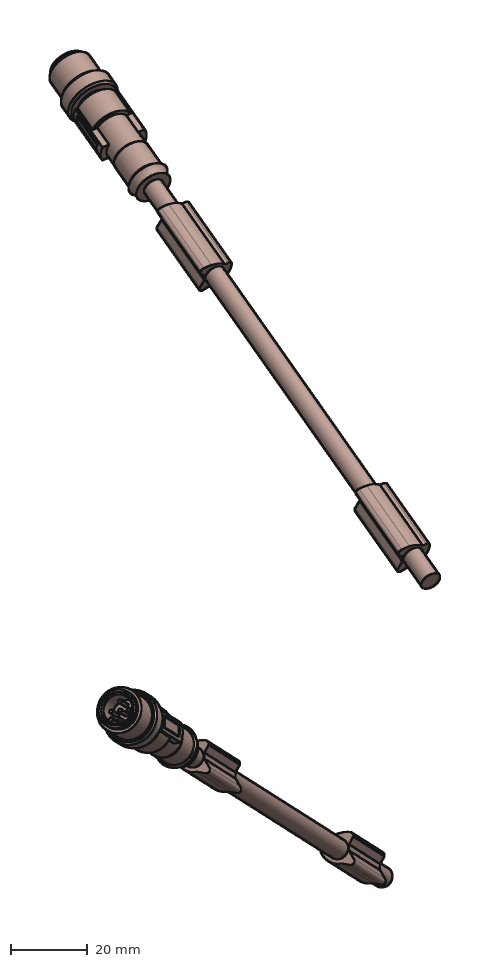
import cadquery as cq
import math

total_length = 196.8

tip_radius = 5.2
tip_length = 1.45
sleeve_radius = 6.2
bore_radius = 4.0
bore_chamfer = 0.5
bore_depth = 7.0

pin_radius = 0.5
pin_circle_radius = 2.5
pin_length = 5.0
key_turn = -45.0
key_width = 1.0
key_height = 1.2
key_setback = 1.5

nut_start = 9.2
nut_end = 14.4
nut_radius = 7.4
nut_chamfer = 0.6

neck_radius = 4.8
body_start = 15.75
collar_end = 24.0
collar_radius = 6.3
body_end = 46.5
body_radius = 5.1
relief_start = 34.5
relief_radius = 5.2

bead_start = 43.0
bead_peak = 43.6
bead_radius = 5.85
bead_fade = 44.3
bead_fade_radius = 5.35

pad_end = 30.4
pad_radius = 6.85
pad_height = 5.4
recess_start = 17.2
recess_length = 11.0
recess_height = 3.1
recess_floor = 6.4

cable_radius = 2.8
clip_length = 23.2
clip_starts = (56.5, 163.8)

clip_channel_wall_y = -3.05
clip_lower_lip = (-4.35, -3.0)
clip_channel_bottom = (clip_channel_wall_y, -0.7)
clip_channel_top = (clip_channel_wall_y, 0.95)
clip_upper_lip = (-4.25, 2.95)
clip_dome_start = (-3.2, 4.28)
clip_dome_ridge = (-0.9, 4.3)
clip_ledge_start = (3.0, 2.3)
clip_ledge_end = (4.1, 2.25)
clip_back_lip = (5.15, 1.2)
clip_underside = (-1.0, -4.0)
clip_foot = (-3.6, -4.65)

clip_upper_lip_bulge = (-4.1, 3.75)
clip_dome_crown = (-2.0, 4.4)
clip_dome_flank = (1.1, 3.7)
clip_back_lip_bulge = (4.85, 1.95)
clip_underside_bulge = (2.9, -2.95)
clip_lower_lip_bulge = (-4.55, -3.95)


def cylinder(start, end, radius):
    """Solid cylinder along X between two stations."""
    return cq.Workplane("YZ", origin=(start, 0, 0)).circle(radius).extrude(end - start)


def make_plug():
    """Stepped sleeve with a blind bore holding five pins and a coding key."""
    sleeve = cylinder(0, tip_length, tip_radius)
    sleeve = sleeve.union(cylinder(tip_length, nut_end, sleeve_radius))
    sleeve = sleeve.cut(cylinder(0, bore_depth, bore_radius))
    sleeve = sleeve.faces("<X").edges(cq.selectors.RadiusNthSelector(0)).chamfer(bore_chamfer)

    quarter_turns = [i * math.pi / 2 for i in range(4)]
    pin_centres = [(0, 0)] + [
        (pin_circle_radius * math.cos(a), pin_circle_radius * math.sin(a)) for a in quarter_turns
    ]
    pins = (
        cq.Workplane("YZ", origin=(bore_depth - pin_length, 0, 0))
        .pushPoints(pin_centres)
        .circle(pin_radius)
        .extrude(pin_length)
    )

    key_inner = bore_radius - key_height
    key_outer = (bore_radius + tip_radius) / 2
    key = (
        cq.Workplane("XY")
        .box(bore_depth - key_setback, key_outer - key_inner, key_width, centered=(False, False, True))
        .translate((key_setback, key_inner, 0))
        .rotate((0, 0, 0), (1, 0, 0), key_turn)
    )
    return sleeve.union(pins).union(key)


def make_nut():
    """Round coupling nut, chamfered at both ends."""
    return cylinder(nut_start, nut_end, nut_radius).edges().chamfer(nut_chamfer)


def make_side_pads():
    """Cylindrical pads on the -Y and +Y sides, each with a shallow rectangular recess."""
    pad_slab = (
        cq.Workplane("XY")
        .box(pad_end - body_start, 2 * pad_radius, pad_height, centered=(False, True, True))
        .translate((body_start, 0, 0))
    )
    pads = cylinder(body_start, pad_end, pad_radius).intersect(pad_slab)
    recess = cq.Workplane("XY").box(
        recess_length, pad_radius - recess_floor, recess_height, centered=(False, True, True)
    )
    for side in (-1, 1):
        recess_y = side * (pad_radius + recess_floor) / 2
        pads = pads.cut(recess.translate((recess_start, recess_y, 0)))
    return pads


def make_strain_relief():
    """Round end of the grip with a sharp bead that fades out towards the cable."""
    return (
        cq.Workplane("XY")
        .moveTo(relief_start, 0)
        .lineTo(relief_start, relief_radius)
        .lineTo(bead_start, relief_radius)
        .lineTo(bead_peak, bead_radius)
        .threePointArc((bead_fade, bead_fade_radius), (body_end, body_radius))
        .lineTo(body_end, 0)
        .close()
        .revolve(360, (0, 0, 0), (1, 0, 0))
    )


def make_grip():
    """Neck, collar, slim body, strain relief and side pads."""
    grip = cylinder(nut_end, body_start, neck_radius)
    grip = grip.union(cylinder(body_start, collar_end, collar_radius))
    grip = grip.union(cylinder(collar_end, relief_start, body_radius))
    return grip.union(make_strain_relief()).union(make_side_pads())


def make_clip(start):
    """Marker clip around the cable: label channel facing -Y, domed top and a lip towards +Y."""
    return (
        cq.Workplane("YZ", origin=(start, 0, 0))
        .moveTo(*clip_lower_lip)
        .lineTo(*clip_channel_bottom)
        .lineTo(*clip_channel_top)
        .lineTo(*clip_upper_lip)
        .threePointArc(clip_upper_lip_bulge, clip_dome_start)
        .threePointArc(clip_dome_crown, clip_dome_ridge)
        .threePointArc(clip_dome_flank, clip_ledge_start)
        .lineTo(*clip_ledge_end)
        .threePointArc(clip_back_lip_bulge, clip_back_lip)
        .threePointArc(clip_underside_bulge, clip_underside)
        .lineTo(*clip_foot)
        .threePointArc(clip_lower_lip_bulge, clip_lower_lip)
        .close()
        .extrude(clip_length)
    )


cable = cylinder(body_end, total_length, cable_radius)

result = make_plug().union(make_nut()).union(make_grip()).union(cable)
for clip_start in clip_starts:
    result = result.union(make_clip(clip_start))